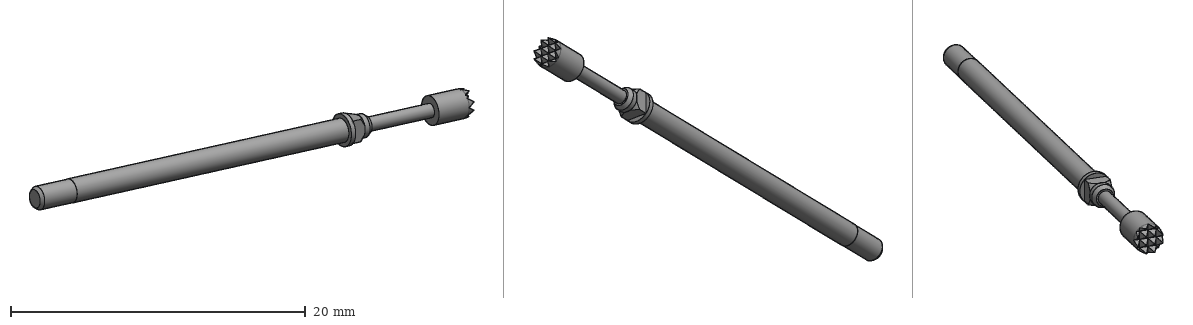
import cadquery as cq

length = 35.8

head_diameter = 2.08
head_length = 3.0
stem_diameter = 1.0
crown_diameter = 1.95
tooth_pitch = 0.6
tooth_depth = 0.5
teeth_per_side = 4

barrel_diameter = 1.7
mouth_diameter = 1.25
mouth_start = 8.27
mouth_taper = 0.32
square_start = 9.0
square_width = 1.6
square_corner_diameter = 2.3
square_lead_in = 0.35
flange_start = 10.0
flange_diameter = 2.3
flange_thickness = 0.35
tail_diameter = 1.65
tail_length = 2.95
tail_start = length - tail_length
tail_chamfer_length = 0.25
tail_end_diameter = 1.3


def revolved(profile):
    """Turn a closed (radius, y) profile around the Y axis."""
    return cq.Workplane("XY").polyline(profile).close().revolve(360, (0, 0, 0), (0, 1, 0))


def cylinder(diameter, start, end):
    """Round length on the probe axis between two distances from the tips."""
    return cq.Workplane("XZ").workplane(offset=start).circle(diameter / 2).extrude(end - start)


def saw_bar(plane, y_first):
    """Bar with a row of V teeth across one direction, running straight along the other.

    y_first tells that the plane's first axis is Y, so the point pairs are turned round.
    """
    half_row = (teeth_per_side / 2) * tooth_pitch
    points = [(-half_row, -head_length), (-half_row, -tooth_depth)]
    for tooth in range(teeth_per_side):
        left = -half_row + tooth * tooth_pitch
        points.append((left + tooth_pitch / 2, 0))
        points.append((left + tooth_pitch, -tooth_depth))
    points.append((half_row, -head_length))
    if y_first:
        points = [(y, across) for across, y in points]
    return cq.Workplane(plane).polyline(points).close().extrude(head_diameter, both=True)


def contact_head():
    """Head with a tapered crown, cross-cut into a grid of pyramids."""
    head_radius = head_diameter / 2
    blank = revolved([
        (0, 0),
        (crown_diameter / 2, 0),
        (head_radius, -tooth_depth),
        (head_radius, -head_length),
        (0, -head_length),
    ])
    return blank.intersect(saw_bar("XY", y_first=False)).intersect(saw_bar("YZ", y_first=True))


def wrench_square():
    """Square section with a turned lead-in towards the tips."""
    mouth_radius = barrel_diameter / 2
    corner_radius = square_corner_diameter / 2
    turned = revolved([
        (0, -square_start),
        (mouth_radius, -square_start),
        (corner_radius, -square_start - square_lead_in),
        (corner_radius, -flange_start),
        (0, -flange_start),
    ])
    square = (
        cq.Workplane("XZ").workplane(offset=square_start)
        .rect(square_width, square_width).extrude(flange_start - square_start)
    )
    return turned.intersect(square)


def barrel_mouth():
    """Collar that narrows around the stem."""
    return revolved([
        (0, -mouth_start),
        (mouth_diameter / 2, -mouth_start),
        (barrel_diameter / 2, -mouth_start - mouth_taper),
        (barrel_diameter / 2, -square_start),
        (0, -square_start),
    ])


def barrel_tail():
    """Slightly narrower end of the barrel with a tapered tip."""
    tail_radius = tail_diameter / 2
    return revolved([
        (0, -tail_start),
        (tail_radius, -tail_start),
        (tail_radius, -length + tail_chamfer_length),
        (tail_end_diameter / 2, -length),
        (0, -length),
    ])


stem = cylinder(stem_diameter, head_length, mouth_start)
flange = cylinder(flange_diameter, flange_start, flange_start + flange_thickness)
body = cylinder(barrel_diameter, flange_start + flange_thickness, tail_start)

result = contact_head()
for section in (stem, barrel_mouth(), wrench_square(), flange, body, barrel_tail()):
    result = result.union(section)